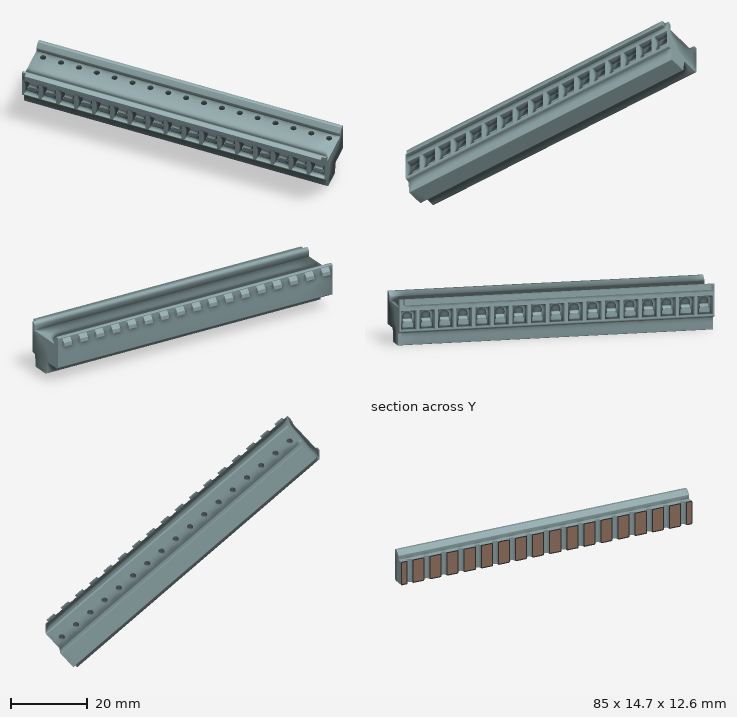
import cadquery as cq

position_count = 17
pitch = 5.0
length = position_count * pitch
height = 12.55
body_depth = 12.5

shoulder_z = 3.65
channel_floor_z = 10.25
front_wall_thickness = 1.1
front_wall_round = 1.0
rear_wall_thickness = 2.1
rear_wall_top_width = 1.0
rear_wall_slope_height = 1.2
shoulder_round = 0.5
foot_bottom_round = 0.2
rear_wall_edge_round = 0.2

foot_front_top = 1.3
foot_rear_top = 7.1
foot_front_bottom = 1.55
foot_rear_bottom = 6.65

lip_projection = 1.1
lip_height = 1.4
lip_end_setback = 1.1

latch_width = 2.4
latch_projection = 1.1
latch_rise = 1.95
latch_nose_projection = 0.9
latch_nose_rise = 0.95

screw_hole_diameter = 1.6
screw_hole_y = body_depth - 3.6

window_front_width = 4.1
window_back_width = 3.85
window_bottom_z = 4.3
window_top_z = 9.45
window_depth = 1.9
entry_radius = 1.42
entry_centre_z = 7.5
entry_depth = 1.0

guide_front_y = 1.15
guide_back_z = 6.95
guide_front_top_z = 6.4
guide_top_width = 2.3
guide_base_width = 2.85
guide_base_top_z = 5.85
guide_front_bottom_z = 4.85
guide_undercut = 0.35

first_x = -(position_count - 1) * pitch / 2
position_xs = [first_x + i * pitch for i in range(position_count)]


def extrude_along_x(points, width, centre_x=0.0):
    """Extrude a closed (y, z) outline symmetrically about centre_x."""
    return (
        cq.Workplane("YZ", origin=(centre_x - width / 2, 0, 0))
        .polyline(points)
        .close()
        .extrude(width)
    )


def round_long_edges(body, corners, radius):
    """Fillet the edges that run along X through the given (y, z) corners."""
    for y, z in corners:
        edge = body.edges("|X").edges(cq.selectors.NearestToPointSelector((0, y, z)))
        body = edge.fillet(radius)
    return body


def make_housing():
    outline = [
        (foot_front_bottom, 0),
        (foot_rear_bottom, 0),
        (foot_rear_top, shoulder_z),
        (body_depth, shoulder_z),
        (body_depth, height),
        (body_depth - rear_wall_top_width, height),
        (body_depth - rear_wall_thickness, height - rear_wall_slope_height),
        (body_depth - rear_wall_thickness, channel_floor_z),
        (front_wall_thickness, channel_floor_z),
        (front_wall_thickness, height),
        (0, height),
        (0, shoulder_z),
        (foot_front_top, shoulder_z),
    ]
    shoulder_corners = [
        (0, shoulder_z),
        (foot_front_top, shoulder_z),
        (foot_rear_top, shoulder_z),
        (body_depth, shoulder_z),
    ]
    foot_corners = [(foot_front_bottom, 0), (foot_rear_bottom, 0)]
    rear_wall_corners = [
        (body_depth, height),
        (body_depth - rear_wall_top_width, height),
        (body_depth - rear_wall_thickness, height - rear_wall_slope_height),
    ]
    housing = extrude_along_x(outline, length)
    housing = round_long_edges(housing, shoulder_corners, shoulder_round)
    housing = round_long_edges(housing, foot_corners, foot_bottom_round)
    housing = round_long_edges(housing, rear_wall_corners, rear_wall_edge_round)
    return round_long_edges(housing, [(front_wall_thickness, height)], front_wall_round)


def make_front_lip():
    outline = [
        (0, height - lip_height),
        (0, height),
        (-lip_projection, height),
        (-lip_projection, height - lip_height),
    ]
    return extrude_along_x(outline, length - 2 * lip_end_setback)


def make_latch(x):
    """Tooth with a flat underside, a steep nose and a sloping back."""
    outline = [
        (body_depth, channel_floor_z),
        (body_depth + latch_projection, channel_floor_z),
        (body_depth + latch_nose_projection, channel_floor_z + latch_nose_rise),
        (body_depth, channel_floor_z + latch_rise),
    ]
    return extrude_along_x(outline, latch_width, x)


def make_screw_hole(x):
    return (
        cq.Workplane("XY")
        .center(x, screw_hole_y)
        .circle(screw_hole_diameter / 2)
        .extrude(height)
    )


def make_wire_guide(x):
    """Block with a sloping top, an undercut front and a wider base."""
    top_outline = [
        (window_depth, guide_base_top_z),
        (guide_front_y, guide_base_top_z),
        (guide_front_y, guide_front_top_z),
        (window_depth, guide_back_z),
        (window_depth + entry_depth, guide_back_z),
        (window_depth + entry_depth, guide_base_top_z),
    ]
    base_outline = [
        (window_depth + entry_depth, window_bottom_z),
        (guide_front_y + guide_undercut, window_bottom_z),
        (guide_front_y, guide_front_bottom_z),
        (guide_front_y, guide_base_top_z),
        (window_depth + entry_depth, guide_base_top_z),
    ]
    top = extrude_along_x(top_outline, guide_top_width, x)
    return top.union(extrude_along_x(base_outline, guide_base_width, x))


def make_wire_entry(x):
    """Window narrowing towards the back and a round recess in its back wall, less the wire guide."""
    plan_outline = [
        (-window_front_width / 2, 0),
        (window_front_width / 2, 0),
        (window_back_width / 2, window_depth),
        (-window_back_width / 2, window_depth),
    ]
    window = (
        cq.Workplane("XY", origin=(x, 0, window_bottom_z))
        .polyline(plan_outline)
        .close()
        .extrude(window_top_z - window_bottom_z)
    )
    recess = (
        cq.Workplane("XZ", origin=(x, window_depth, entry_centre_z))
        .circle(entry_radius)
        .extrude(-entry_depth)
    )
    return window.union(recess).cut(make_wire_guide(x))


result = make_housing().union(make_front_lip())
for position_x in position_xs:
    result = result.union(make_latch(position_x))
for position_x in position_xs:
    result = result.cut(make_screw_hole(position_x)).cut(make_wire_entry(position_x))